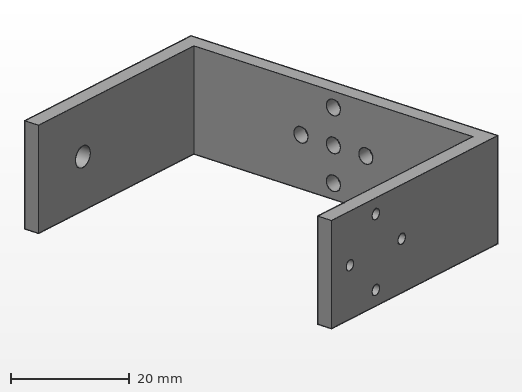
import cadquery as cq

width = 66.2
depth = 45.0
height = 20.0
thickness = 3.0

mount_hole_diameter = 3.0
mount_hole_spacing = 7.0

pivot_setback = 12.0
pivot_hole_diameter = 4.0

horn_hole_diameter = 2.0
horn_hole_radius = 7.0

pivot_y = -depth + pivot_setback
arm_center_x = (width - thickness) / 2


def cross_points(radius):
    """Four points on the axes of a plane, at the given radius."""
    return [(radius, 0), (-radius, 0), (0, radius), (0, -radius)]


def make_bracket():
    """Back plate with an arm running forward from each end."""
    outer = cq.Workplane("XY").box(width, depth, height).translate((0, -depth / 2, 0))
    opening = cq.Workplane("XY").box(width - 2 * thickness, depth, height)
    return outer.cut(opening.translate((0, -depth / 2 - thickness, 0)))


def back_plate_holes():
    """Centre hole and four holes around it, through the back plate."""
    points = [(0, 0)] + cross_points(mount_hole_spacing)
    plane = cq.Workplane("XZ")
    return plane.pushPoints(points).circle(mount_hole_diameter / 2).extrude(thickness)


def arm_holes(center_x, points, diameter):
    """Holes through one arm, placed relative to the pivot axis."""
    plane = cq.Workplane("YZ", origin=(center_x - thickness / 2, pivot_y, 0))
    return plane.pushPoints(points).circle(diameter / 2).extrude(thickness)


result = (
    make_bracket()
    .cut(back_plate_holes())
    .cut(arm_holes(-arm_center_x, [(0, 0)], pivot_hole_diameter))
    .cut(arm_holes(arm_center_x, cross_points(horn_hole_radius), horn_hole_diameter))
)